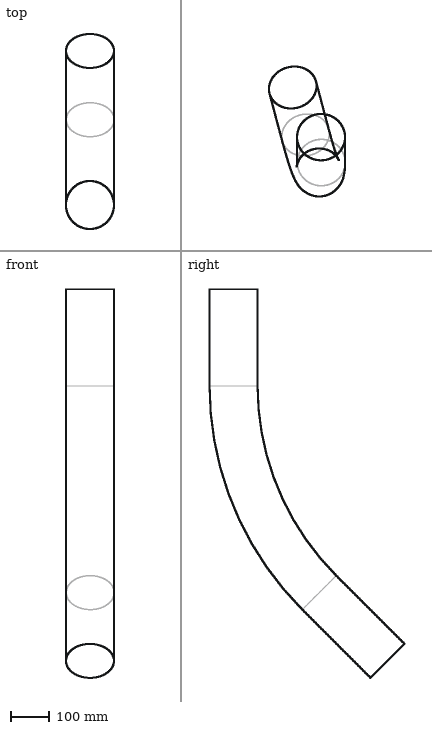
import cadquery as cq
import math

height = 1017.0
outer_diameter = 127.0
inner_diameter = 124.0
leg_length = 253.0
bend_angle = 45.0

angle = math.radians(bend_angle)
end_face_drop = outer_diameter / 2 * math.sin(angle)
legs_height = leg_length * (1 + math.cos(angle))
bend_radius = (height - legs_height - end_face_drop) / math.sin(angle)


def bend_point(turn):
    """Point (Y, Z) on the bend centreline after turning by the given angle."""
    y = bend_radius * (1 - math.cos(turn))
    z = -leg_length - bend_radius * math.sin(turn)
    return y, z


bend_start = bend_point(0)
bend_middle = bend_point(angle / 2)
bend_end = bend_point(angle)
leg_end = (
    bend_end[0] + leg_length * math.sin(angle),
    bend_end[1] - leg_length * math.cos(angle),
)
centreline = (
    cq.Workplane("YZ")
    .moveTo(0, 0)
    .lineTo(*bend_start)
    .threePointArc(bend_middle, bend_end)
    .lineTo(*leg_end)
)

result = (
    cq.Workplane("XY")
    .circle(outer_diameter / 2)
    .circle(inner_diameter / 2)
    .sweep(centreline)
)